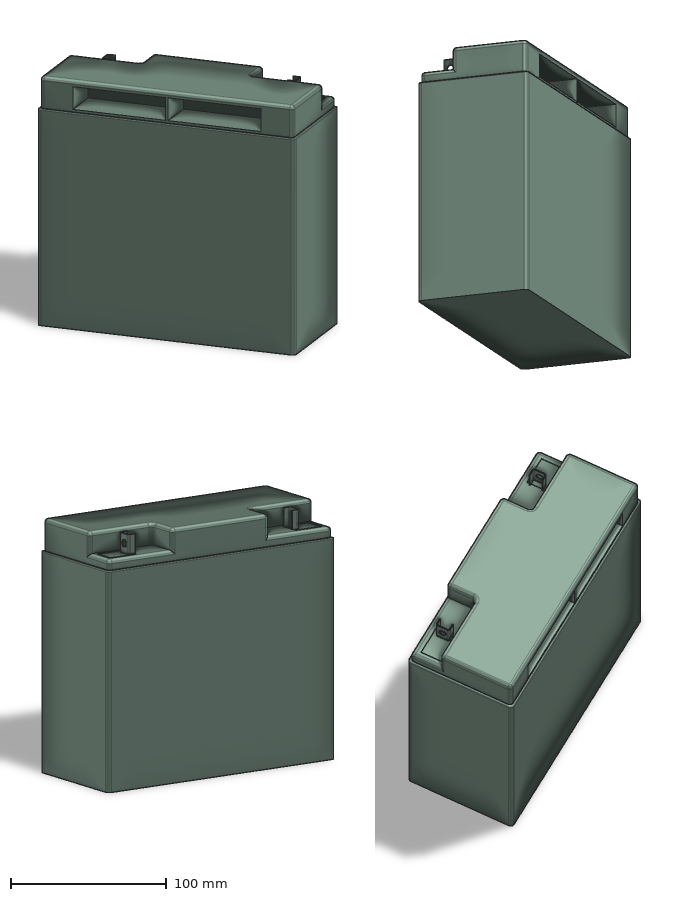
import cadquery as cq

length = 177.8
width = 76.3
height = 167.1

lid_height = 21.7
case_height = height - lid_height
edge_radius = 2.7
case_rim_radius = 0.5
lid_inset = 1.5
lid_length = length - 2 * lid_inset
lid_width = width - 2 * lid_inset
lid_seam_chamfer = 0.5

shelf_height = height - 14.4
bay_wall_x = 38.0
bay_wall_y = 15.0

seat_length = 20.0
seat_width = 14.4
seat_depth = 0.4
seat_centre_x = 72.5
terminal_y = 24.4

tab_width = 10.0
tab_depth = 5.5
tab_thickness = 0.7
tab_bend_radius = 1.6
tab_outer_x = 66.9
tab_top = height - 1.8
tab_hole_diameter = 4.8
tab_hole_height = height - 8.2
tab_foot = shelf_height - 2 * seat_depth

grip_length = 64.0
grip_height = 15.3
grip_depth = 26.7
grip_rib = 1.8
grip_bottom = case_height + 2.1


def make_case():
    block = cq.Workplane("XY").box(length, width, case_height, centered=(True, True, False))
    return block.edges("|Z").fillet(edge_radius).faces(">Z").edges().fillet(case_rim_radius)


def make_lid():
    shelf_block = (
        cq.Workplane("XY", origin=(0, 0, case_height))
        .rect(lid_length, lid_width)
        .extrude(shelf_height - case_height)
        .edges("|Z").fillet(edge_radius)
        .faces(">Z").edges().fillet(edge_radius)
        .faces("<Z").edges().chamfer(lid_seam_chamfer)
    )
    half_length = lid_length / 2
    half_width = lid_width / 2
    raised_block = (
        cq.Workplane("XY", origin=(0, 0, case_height))
        .moveTo(-half_length, -half_width)
        .lineTo(half_length, -half_width)
        .lineTo(half_length, bay_wall_y)
        .lineTo(bay_wall_x, bay_wall_y)
        .lineTo(bay_wall_x, half_width)
        .lineTo(-bay_wall_x, half_width)
        .lineTo(-bay_wall_x, bay_wall_y)
        .lineTo(-half_length, bay_wall_y)
        .close()
        .extrude(lid_height)
        .edges("|Z").fillet(edge_radius)
        .faces(">Z").edges().fillet(edge_radius)
        .faces("<Z").edges().chamfer(lid_seam_chamfer)
    )
    return shelf_block.union(raised_block)


def make_grip(side):
    centre_x = side * (grip_rib + grip_length) / 2
    return (
        cq.Workplane("XY", origin=(centre_x, -lid_width / 2, grip_bottom))
        .box(grip_length, 2 * grip_depth, grip_height, centered=(True, True, False))
    )


def make_seat(side):
    return (
        cq.Workplane("XY", origin=(side * seat_centre_x, terminal_y, shelf_height))
        .rect(seat_length, seat_width)
        .extrude(-seat_depth)
    )


def make_tab(side):
    centre_x = side * (tab_outer_x - tab_depth / 2)
    outer_edge = ">X" if side > 0 else "<X"
    inner_radius = tab_bend_radius - tab_thickness
    inner_centre_x = centre_x - side * tab_thickness

    outside = (
        cq.Workplane("XY", origin=(centre_x, terminal_y, tab_foot))
        .rect(tab_depth, tab_width)
        .extrude(tab_top - tab_foot)
        .faces(outer_edge).edges("|Z").fillet(tab_bend_radius)
    )
    inside = (
        cq.Workplane("XY", origin=(inner_centre_x, terminal_y, tab_foot))
        .rect(tab_depth, tab_width - 2 * tab_thickness)
        .extrude(tab_top - tab_foot)
        .faces(outer_edge).edges("|Z").fillet(inner_radius)
    )
    hole = (
        cq.Workplane("YZ", origin=(centre_x, terminal_y, tab_hole_height))
        .circle(tab_hole_diameter / 2)
        .extrude(tab_depth, both=True)
    )
    return outside.cut(inside).cut(hole)


result = make_case().union(make_lid())
for side in (-1, 1):
    result = result.cut(make_grip(side)).cut(make_seat(side)).union(make_tab(side))